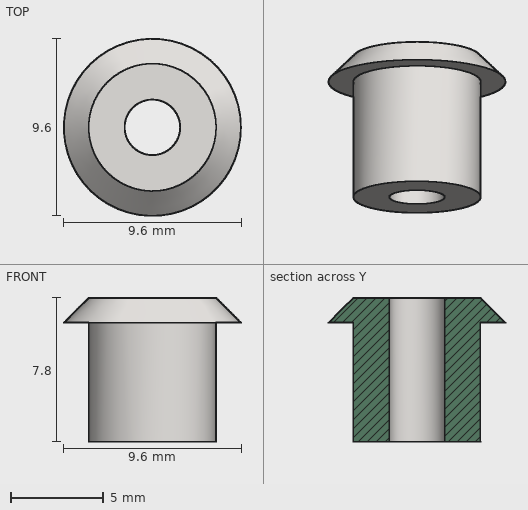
import cadquery as cq

flange_diameter = 9.6
body_diameter = 6.9
bore_diameter = 3.0
total_height = 7.8

head_height = (flange_diameter - body_diameter) / 2
body_height = total_height - head_height

body = cq.Workplane("XY").circle(body_diameter / 2).extrude(body_height)

head = cq.Workplane("XY").add(
    cq.Solid.makeCone(
        flange_diameter / 2,
        body_diameter / 2,
        head_height,
        pnt=cq.Vector(0, 0, body_height),
    )
)

bore = cq.Workplane("XY").circle(bore_diameter / 2).extrude(total_height)

result = body.union(head).cut(bore)